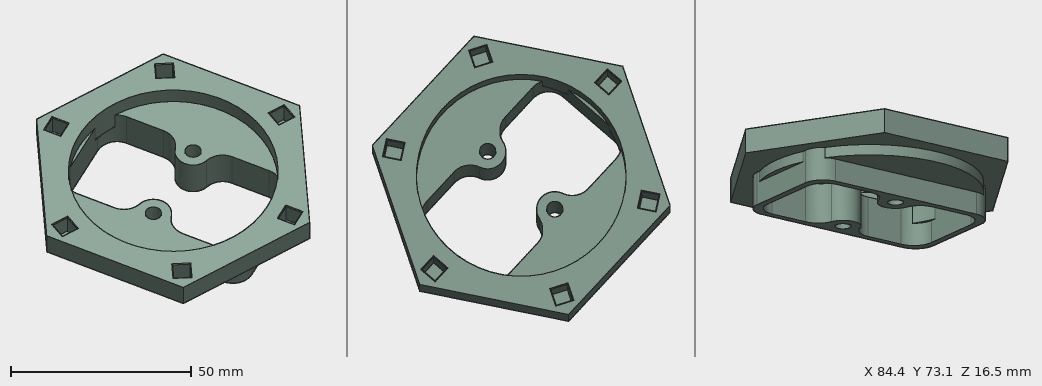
import cadquery as cq
import math

plate_sides = 6
plate_corner_diameter = 84.4
plate_thickness = 7.0

collar_diameter = 63.5
collar_depth = 3.0
bore_diameter = 58.1
bore_floor_depth = 5.0
collar_bottom_depth = plate_thickness + collar_depth

overall_height = 16.5
box_length = 60.1
box_width = 34.9
box_corner_radius = 6.0
wall_thickness = 2.0
opening_length = box_length - 2 * wall_thickness
opening_width = box_width - 2 * wall_thickness
opening_corner_radius = box_corner_radius

screw_offset = 12.5
screw_hole_diameter = 4.5
boss_radius = 5.1
boss_blend_radius = 6.0

pocket_count = plate_sides
pocket_centre_radius = 36.1
pocket_side = 4.8
pocket_depth = 6.0
pocket_chamfer = 0.25
pocket_chamfer_angle = 45


def disc(diameter, top_depth, bottom_depth):
    """Disc on the Z axis between two depths below the plate top."""
    height = bottom_depth - top_depth
    return cq.Workplane("XY").workplane(offset=-bottom_depth).circle(diameter / 2).extrude(height)


def rounded_block(length, width, corner_radius, top_depth, bottom_depth):
    """Centred block with rounded upright edges between two depths below the plate top."""
    block = cq.Workplane("XY").workplane(offset=-bottom_depth).rect(length, width)
    return block.extrude(bottom_depth - top_depth).edges("|Z").fillet(corner_radius)


def make_ring():
    """Hexagonal plate and collar with the bore through both."""
    plate = cq.Workplane("XY").polygon(plate_sides, plate_corner_diameter).extrude(-plate_thickness)
    collar = disc(collar_diameter, plate_thickness, collar_bottom_depth)
    return plate.union(collar).cut(disc(bore_diameter, 0, collar_bottom_depth))


def make_boss(side):
    """Boss on the +Y (side = 1) or -Y (side = -1) wall, blended into the wall by two arcs."""
    wall_y = opening_width / 2
    blend_y = wall_y - boss_blend_radius
    centre_distance = boss_radius + boss_blend_radius
    blend_x = math.sqrt(centre_distance**2 - (screw_offset - blend_y) ** 2)

    share = boss_radius / centre_distance
    meet_x = share * blend_x
    meet_y = screw_offset + share * (blend_y - screw_offset)

    middle_angle = (math.radians(90) + math.atan2(meet_y - blend_y, meet_x - blend_x)) / 2
    middle_x = blend_x + boss_blend_radius * math.cos(middle_angle)
    middle_y = blend_y + boss_blend_radius * math.sin(middle_angle)

    back_y = wall_y + wall_thickness / 2
    outline = (
        cq.Workplane("XY")
        .workplane(offset=-overall_height)
        .moveTo(-blend_x, side * back_y)
        .lineTo(-blend_x, side * wall_y)
        .threePointArc((-middle_x, side * middle_y), (-meet_x, side * meet_y))
        .threePointArc((0, side * (screw_offset - boss_radius)), (meet_x, side * meet_y))
        .threePointArc((middle_x, side * middle_y), (blend_x, side * wall_y))
        .lineTo(blend_x, side * back_y)
        .close()
    )
    return outline.extrude(overall_height - bore_floor_depth)


def make_box():
    """Open box with a floor that fills the bore around the opening."""
    box = rounded_block(box_length, box_width, box_corner_radius, bore_floor_depth, overall_height)
    bore_floor = disc(bore_diameter, bore_floor_depth, collar_bottom_depth)
    opening = rounded_block(
        opening_length, opening_width, opening_corner_radius, bore_floor_depth, overall_height
    )
    box = box.union(bore_floor).cut(opening)
    for side in (1, -1):
        box = box.union(make_boss(side))
    screw_holes = (
        cq.Workplane("XY")
        .pushPoints([(0, screw_offset), (0, -screw_offset)])
        .circle(screw_hole_diameter / 2)
        .extrude(-overall_height)
    )
    return box.cut(screw_holes)


def make_pockets():
    """Square pockets with a small chamfer around the mouth, one at each plate corner."""
    mouth_side = pocket_side + 2 * pocket_chamfer
    shaft = cq.Workplane("XY").rect(pocket_side, pocket_side).extrude(-pocket_depth)
    mouth = cq.Workplane("XY").rect(mouth_side, mouth_side)
    mouth = mouth.extrude(-pocket_chamfer, taper=pocket_chamfer_angle)
    pocket = shaft.union(mouth)
    pattern = cq.Workplane("XY").polarArray(pocket_centre_radius, 0, 360, pocket_count)
    return pattern.eachpoint(lambda place: pocket.val().moved(place))


result = make_ring().union(make_box()).cut(make_pockets())